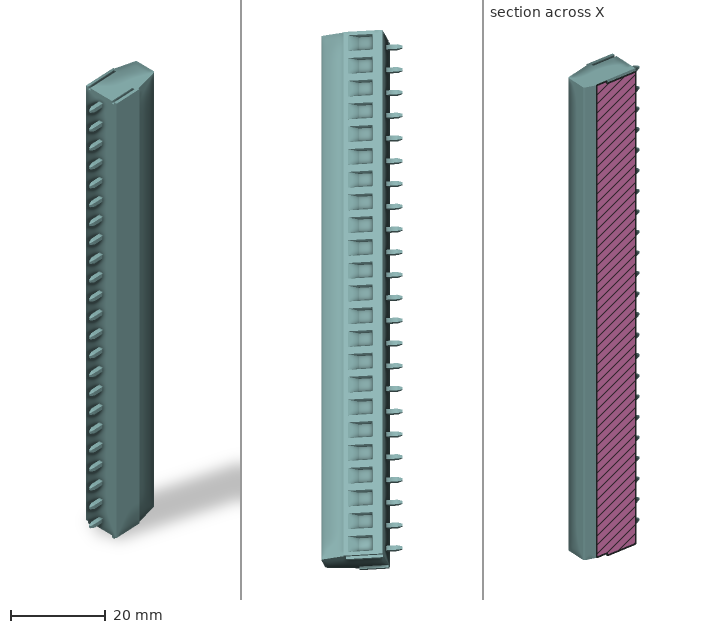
import cadquery as cq


pole_count = 23
pitch = 5.08
row_length = pole_count * pitch

housing_width = 9.0
housing_height = 13.5
crown_width = 5.4
shoulder_ledge = 0.3
crown_radius = 0.5
entry_shoulder_height = 8.35
back_shoulder_height = 7.0

entry_depth = 0.95
mouth_width = 5.35
mouth_length = 3.5
mouth_from_base = 2.1
taper_base_side = 0.27
taper_crown_side = 2.25
taper_lower_side = 0.5
taper_upper_side = 0.27

pin_length = 3.5
pin_width = 1.0
pin_thickness = 1.0
pin_tip_length = 1.0
pin_tip_width = 0.4
pin_tip_thickness = 0.55

entry_tongue_inset = 0.6
back_tongue_inset = 0.7
tongue_width = 0.68
tongue_height = 0.6
entry_tongue_reach = 7.9
back_tongue_reach = 6.3

half_width = housing_width / 2
half_crown = crown_width / 2


def pole_center(index):
    """Height of one pole's middle above the lower end of the housing."""
    return (index + 0.5) * pitch


def make_housing():
    """Prism with a tapered, round-edged crown, extruded along the row."""
    outline = [
        (-half_width, 0),
        (half_width, 0),
        (half_width, back_shoulder_height),
        (half_width - shoulder_ledge, back_shoulder_height),
        (half_crown, housing_height),
        (-half_crown, housing_height),
        (-half_width + shoulder_ledge, entry_shoulder_height),
        (-half_width, entry_shoulder_height),
    ]
    prism = cq.Workplane("XY").polyline(outline).close().extrude(row_length)
    return prism.faces(">Y").edges("|Z").fillet(crown_radius)


def make_entry(z_center):
    """Funnel to be cut into the -X face."""
    mouth_middle = mouth_from_base + mouth_width / 2
    floor_width = mouth_width - taper_base_side - taper_crown_side
    floor_length = mouth_length - taper_lower_side - taper_upper_side
    floor_shift_y = (taper_base_side - taper_crown_side) / 2
    floor_shift_z = (taper_lower_side - taper_upper_side) / 2
    return (
        cq.Workplane("YZ", origin=(-half_width, mouth_middle, z_center))
        .rect(mouth_width, mouth_length)
        .workplane(offset=entry_depth)
        .center(floor_shift_y, floor_shift_z)
        .rect(floor_width, floor_length)
        .loft(ruled=True)
    )


def make_pin(z_center):
    """Rectangular shank rooted on the housing base, ending in a tapered tip."""
    shank_length = pin_length - pin_tip_length
    shank = (
        cq.Workplane("XZ", origin=(0, 0, z_center))
        .rect(pin_width, pin_thickness)
        .extrude(shank_length)
    )
    tip = (
        shank.faces("<Y")
        .workplane(centerOption="CenterOfBoundBox")
        .rect(pin_width, pin_thickness)
        .workplane(offset=pin_tip_length)
        .rect(pin_tip_width, pin_tip_thickness)
        .loft(ruled=True, combine=False)
    )
    return shank.union(tip)


def make_rail(x_middle, reach, z_low):
    """Straight rail running up from the housing base."""
    return cq.Workplane("XY", origin=(x_middle, 0, z_low)).box(
        tongue_width, reach, tongue_height, centered=(True, False, False)
    )


def make_rails(z_low):
    """Pair of rails, one near the entry side and one near the back."""
    entry_x = -half_width + entry_tongue_inset + tongue_width / 2
    back_x = half_width - back_tongue_inset - tongue_width / 2
    entry_rail = make_rail(entry_x, entry_tongue_reach, z_low)
    back_rail = make_rail(back_x, back_tongue_reach, z_low)
    return entry_rail.add(back_rail).combine()


result = make_housing()
result = result.cut(make_rails(row_length - tongue_height))
result = result.union(make_rails(-tongue_height))
for pole in range(pole_count):
    result = result.cut(make_entry(pole_center(pole)))
    result = result.union(make_pin(pole_center(pole)))